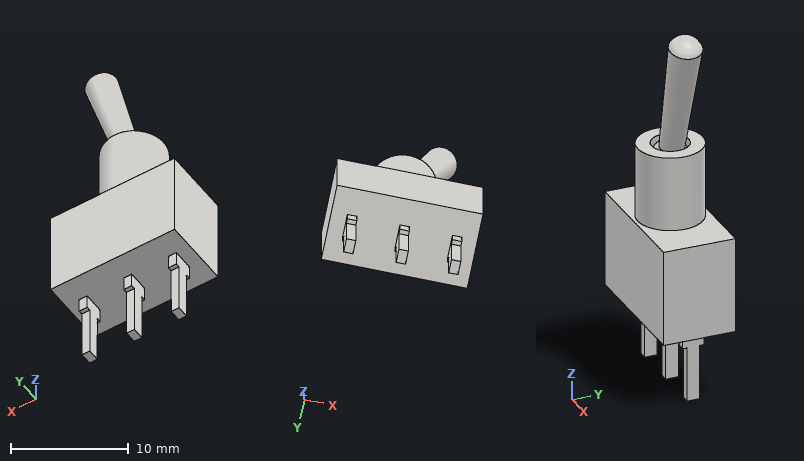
import cadquery as cq
import math

housing_length = 12.7
housing_depth = 6.7
housing_height = 8.85
housing_bottom = 6.5
housing_top = housing_bottom + housing_height

bushing_diameter = 6.0
bushing_height = 6.9
bushing_top = housing_top + bushing_height

total_height = 33.77
ball_diameter = 3.4
ball_radius = ball_diameter / 2
ball_rise = 0.3
pivot_height = bushing_top + ball_rise - ball_radius
lever_tilt = 15.5
lever_root_diameter = 2.23
lever_tip_diameter = 3.0
dome_height = 1.0

pin_count = 3
pin_pitch = 4.55
pin_thickness = 0.8
shoulder_width = 2.0
shoulder_height = 1.42
leg_width = 1.18
leg_height = housing_bottom - shoulder_height


def make_housing():
    return (
        cq.Workplane("XY")
        .workplane(offset=housing_bottom)
        .rect(housing_length, housing_depth)
        .extrude(housing_height)
    )


def make_bushing():
    """Cylinder with a bore that ends in a hemispherical seat for the ball."""
    cylinder = (
        cq.Workplane("XY")
        .workplane(offset=housing_top)
        .circle(bushing_diameter / 2)
        .extrude(bushing_height)
    )
    bore = (
        cq.Workplane("XY")
        .workplane(offset=pivot_height)
        .circle(ball_radius)
        .extrude(bushing_top - pivot_height)
    )
    seat = cq.Workplane("XY").sphere(ball_radius).translate((0, 0, pivot_height))
    return cylinder.cut(bore).cut(seat)


def make_toggle():
    """Upright half profile revolved about Z, then tilted and set on the pivot."""
    root_radius = lever_root_diameter / 2
    tip_radius = lever_tip_diameter / 2
    root_height = math.sqrt(ball_radius**2 - root_radius**2)

    dome_radius = (tip_radius**2 + dome_height**2) / (2 * dome_height)
    dome_center_rise = total_height - dome_radius - pivot_height
    dome_center = dome_center_rise / math.cos(math.radians(lever_tilt))
    apex_height = dome_center + dome_radius
    tip_height = apex_height - dome_height
    dome_half_angle = math.asin(tip_radius / dome_radius) / 2
    dome_middle = (
        dome_radius * math.sin(dome_half_angle),
        dome_center + dome_radius * math.cos(dome_half_angle),
    )

    return (
        cq.Workplane("XZ")
        .moveTo(0, -ball_radius)
        .threePointArc((ball_radius, 0), (root_radius, root_height))
        .lineTo(tip_radius, tip_height)
        .threePointArc(dome_middle, (0, apex_height))
        .close()
        .revolve(360, (0, 0, 0), (0, 1, 0))
        .rotate((0, 0, 0), (0, 1, 0), lever_tilt)
        .translate((0, 0, pivot_height))
    )


def make_pin(x):
    leg = cq.Workplane("XY").rect(pin_thickness, leg_width).extrude(leg_height)
    shoulder = (
        cq.Workplane("XY")
        .workplane(offset=leg_height)
        .rect(pin_thickness, shoulder_width)
        .extrude(shoulder_height)
    )
    return leg.union(shoulder).translate((x, 0, 0))


housing = make_housing()
bushing = make_bushing()
toggle = make_toggle()

pins = []
for index in range(pin_count):
    pin_x = (index - (pin_count - 1) / 2) * pin_pitch
    pins.append(make_pin(pin_x).val())

result = cq.Compound.makeCompound([housing.val(), bushing.val(), toggle.val(), *pins])